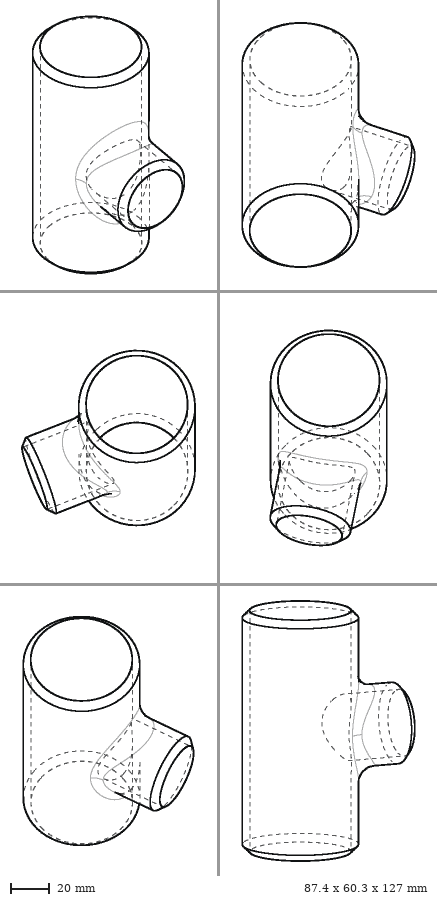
import cadquery as cq

run_length = 127.0
run_diameter = 60.3
run_wall = 4.0
run_bevel_height = 3.8
run_land = 0.1

branch_reach = 57.2
branch_diameter = 42.4
branch_wall = 4.0
branch_bevel_length = 3.5
branch_land = 0.1

crotch_radius = 10.0


def bevelled_rod(length, diameter, bevel_length, bevel_depth):
    """Solid of revolution about Z from the origin, bevelled at its far end."""
    radius = diameter / 2
    profile = [
        (0, 0),
        (radius, 0),
        (radius, length - bevel_length),
        (radius - bevel_depth, length),
        (0, length),
    ]
    return cq.Workplane("XZ").polyline(profile).close().revolve(360, (0, 0), (0, 1))


def run_body():
    half = bevelled_rod(run_length / 2, run_diameter, run_bevel_height, run_wall - run_land)
    whole = half.union(half.mirror("XY")).clean()
    return whole.rotate((0, 0, 0), (0, 0, 1), 180)


def branch_body():
    rod = bevelled_rod(
        branch_reach, branch_diameter, branch_bevel_length, branch_wall - branch_land
    )
    return rod.rotate((0, 0, 0), (0, 1, 0), 90)


def blend_crotch(tee):
    """Round the saddle curve where the branch leaves the run."""
    branch_radius = branch_diameter / 2
    saddle_zone = cq.selectors.BoxSelector(
        (0, -branch_radius, -branch_radius),
        (run_diameter / 2, branch_radius, branch_radius),
        boundingbox=False,
    )
    saddle = tee.edges(saddle_zone).edges("not %LINE")
    return saddle.fillet(crotch_radius)


tee = blend_crotch(run_body().union(branch_body()))

run_bore = cq.Workplane("XY").circle(run_diameter / 2 - run_wall).extrude(run_length / 2, both=True)
branch_bore = cq.Workplane("YZ").circle(branch_diameter / 2 - branch_wall).extrude(branch_reach)

result = tee.cut(run_bore).cut(branch_bore)